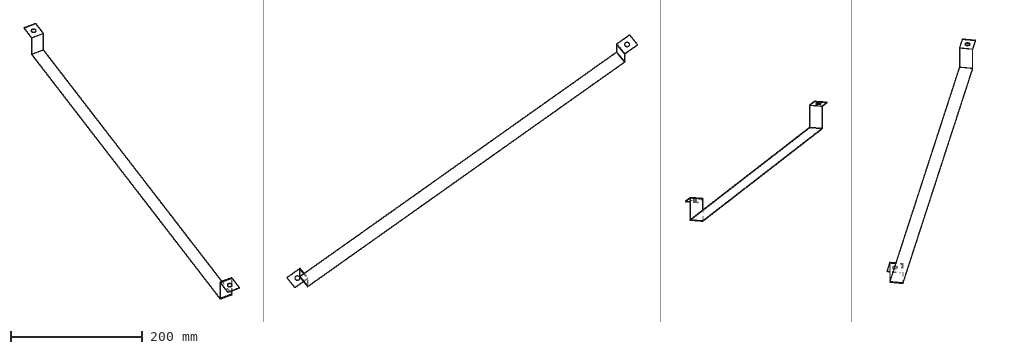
import cadquery as cq

length = 652.0
width = 20.0
height = 36.0

thickness = 1.0
tab_length = 24.0
hole_diameter = 7.0
hole_inset = 12.5

half_length = length / 2
upright_outer_x = half_length - tab_length
upright_inner_x = upright_outer_x - thickness

right_half = [
    (0, 0),
    (upright_outer_x, 0),
    (upright_outer_x, height - thickness),
    (half_length, height - thickness),
    (half_length, height),
    (upright_inner_x, height),
    (upright_inner_x, thickness),
    (0, thickness),
]

strap = (
    cq.Workplane("XZ")
    .polyline(right_half)
    .close()
    .mirrorY()
    .extrude(width / 2, both=True)
)

hole_x = half_length - hole_inset
mounting_holes = (
    cq.Workplane("XY")
    .pushPoints([(-hole_x, 0), (hole_x, 0)])
    .circle(hole_diameter / 2)
    .extrude(height)
)

result = strap.cut(mounting_holes)